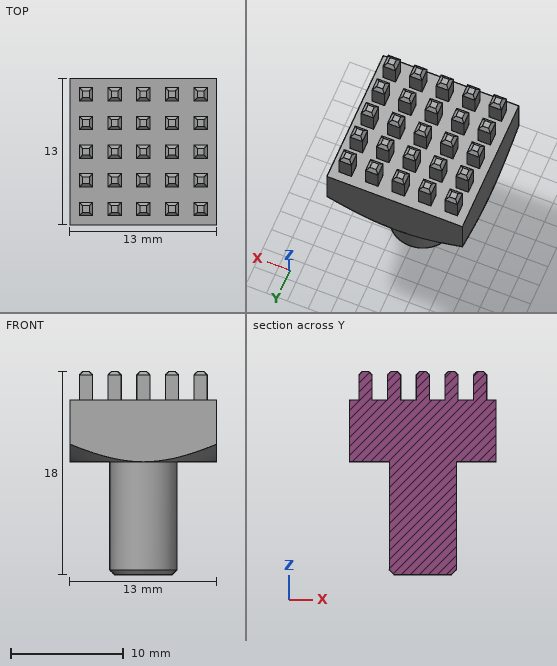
import cadquery as cq
import math

total_height = 18.0
head_width = 13.0

shank_length = 10.0
pin_height = 2.5
head_height = total_height - shank_length - pin_height
head_top = shank_length + head_height

shank_diameter = 6.0
shank_chamfer = 0.45

relief_angle = 30.0

pin_count = 5
pin_pitch = 2.54
pin_width = 1.19
tip_width = 0.6
tip_height = 0.3


def make_shank():
    """Round shank standing on Z = 0, chamfered at its free end."""
    shank = cq.Workplane("XY").circle(shank_diameter / 2).extrude(shank_length)
    return shank.faces("<Z").chamfer(shank_chamfer)


def make_head():
    """Square block whose lower corners are trimmed by a cone, like a nut."""
    block = (
        cq.Workplane("XY")
        .workplane(offset=shank_length)
        .rect(head_width, head_width)
        .extrude(head_height)
    )
    inner_radius = head_width / 2
    outer_radius = inner_radius + head_height / math.tan(math.radians(relief_angle))
    envelope = (
        cq.Workplane("XZ")
        .moveTo(0, shank_length)
        .lineTo(inner_radius, shank_length)
        .lineTo(outer_radius, head_top)
        .lineTo(0, head_top)
        .close()
        .revolve(360, (0, 0, 0), (0, 1, 0))
    )
    return block.intersect(envelope)


def make_pins():
    """Square grid of pins on top of the head, each with a pyramidal tip."""
    grid = (pin_pitch, pin_pitch, pin_count, pin_count)
    stems = (
        cq.Workplane("XY")
        .workplane(offset=head_top)
        .rarray(*grid)
        .rect(pin_width, pin_width)
        .extrude(pin_height - tip_height)
    )
    tip = (
        cq.Workplane("XY")
        .workplane(offset=total_height - tip_height)
        .rect(pin_width, pin_width)
        .workplane(offset=tip_height)
        .rect(tip_width, tip_width)
        .loft(ruled=True)
        .val()
    )
    tips = cq.Workplane("XY").rarray(*grid).eachpoint(lambda place: tip.moved(place))
    return stems.union(tips)


result = make_shank().union(make_head()).union(make_pins())